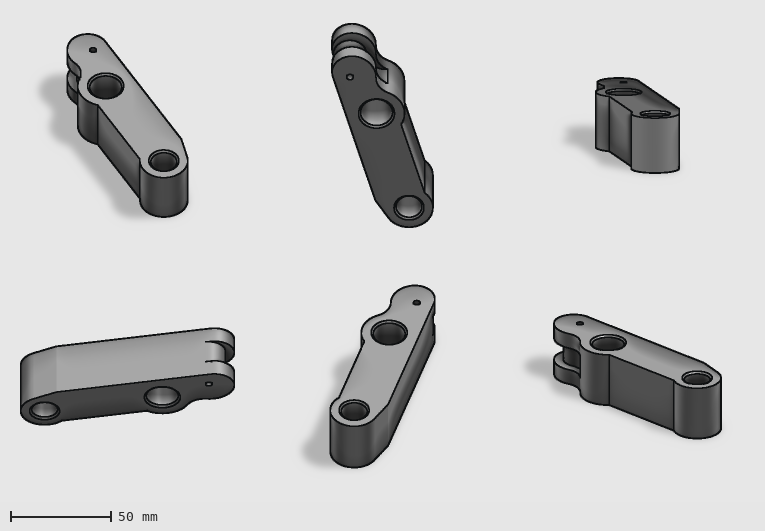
import cadquery as cq
import math

thickness = 28.0
top_edge_y = 15.0
bottom_edge_y = -10.0
chamfer = 1.0

main_boss_radius = 14.0
main_bore_diameter = 16.0

end_center = (60.0, 0.0)
end_boss_radius = 12.0
end_bore_diameter = 13.0
slope_start = (51.0, top_edge_y)

pin_distance = 26.0
pin_angle = math.radians(165.0)
pin_center = (pin_distance * math.cos(pin_angle), pin_distance * math.sin(pin_angle))
pin_hole_diameter = 3.3
nose_radius = 13.0
nose_corner_radius = 10.0
waist_radius = 10.0

slot_height = 12.0
slot_margin = 20.0
web_radius = top_edge_y - pin_center[1]


def polar_point(center, radius, angle):
    """Point at the given radius and angle around a center."""
    return (center[0] + radius * math.cos(angle), center[1] + radius * math.sin(angle))


def direction(start, end):
    """Angle of the line from start to end."""
    return math.atan2(end[1] - start[1], end[0] - start[0])


def circle_crossing(center_a, radius_a, center_b, radius_b):
    """Crossing of two circles that lies on the right of the line from a to b."""
    distance = math.dist(center_a, center_b)
    cosine = (radius_a**2 + distance**2 - radius_b**2) / (2 * radius_a * distance)
    return polar_point(center_a, radius_a, direction(center_a, center_b) - math.acos(cosine))


def arc_middle(center, start, end):
    """Middle point of the shorter arc from start to end around a center."""
    chord_middle = ((start[0] + end[0]) / 2, (start[1] + end[1]) / 2)
    return polar_point(center, math.dist(center, start), direction(center, chord_middle))


main_center = (0.0, 0.0)

corner_y = top_edge_y - nose_corner_radius
corner_offset = math.sqrt((nose_radius - nose_corner_radius) ** 2 - (pin_center[1] - corner_y) ** 2)
corner_center = (pin_center[0] - corner_offset, corner_y)
corner_top = (corner_center[0], top_edge_y)
corner_end = polar_point(pin_center, nose_radius, direction(pin_center, corner_center))

waist_center = circle_crossing(
    pin_center, nose_radius + waist_radius, main_center, main_boss_radius + waist_radius
)
waist_start = polar_point(pin_center, nose_radius, direction(pin_center, waist_center))
waist_end = polar_point(main_center, main_boss_radius, direction(main_center, waist_center))


def make_body():
    main_exit = (math.sqrt(main_boss_radius**2 - bottom_edge_y**2), bottom_edge_y)
    end_entry = (end_center[0] - math.sqrt(end_boss_radius**2 - bottom_edge_y**2), bottom_edge_y)
    tangent_angle = direction(end_center, slope_start) - math.acos(
        end_boss_radius / math.dist(end_center, slope_start)
    )
    slope_end = polar_point(end_center, end_boss_radius, tangent_angle)
    end_boss_right = (end_center[0] + end_boss_radius, end_center[1])
    main_boss_bottom = (main_center[0], main_center[1] - main_boss_radius)

    return (
        cq.Workplane("XY")
        .workplane(offset=-thickness / 2)
        .moveTo(*corner_top)
        .threePointArc(arc_middle(corner_center, corner_top, corner_end), corner_end)
        .threePointArc(arc_middle(pin_center, corner_end, waist_start), waist_start)
        .threePointArc(arc_middle(waist_center, waist_start, waist_end), waist_end)
        .threePointArc(main_boss_bottom, main_exit)
        .lineTo(*end_entry)
        .threePointArc(end_boss_right, slope_end)
        .lineTo(*slope_start)
        .close()
        .extrude(thickness)
    )


def make_slot():
    """Cutter that leaves a round web between the two fork cheeks."""
    hollow_center = circle_crossing(pin_center, web_radius + waist_radius, waist_end, waist_radius)
    hollow_start = polar_point(pin_center, web_radius, direction(pin_center, hollow_center))
    hollow_middle = arc_middle(hollow_center, hollow_start, waist_end)
    web_top = (pin_center[0], top_edge_y)
    web_left = (pin_center[0] - web_radius, pin_center[1])
    outer_x = pin_center[0] - slot_margin
    outer_y = pin_center[1] - slot_margin

    return (
        cq.Workplane("XY")
        .workplane(offset=-slot_height / 2)
        .moveTo(*web_top)
        .threePointArc(web_left, hollow_start)
        .threePointArc(hollow_middle, waist_end)
        .lineTo(waist_end[0], outer_y)
        .lineTo(outer_x, outer_y)
        .lineTo(outer_x, top_edge_y)
        .close()
        .extrude(slot_height)
    )


def make_hole(center, diameter):
    """Round cutter through the full thickness."""
    return (
        cq.Workplane("XY")
        .workplane(offset=-thickness / 2)
        .center(*center)
        .circle(diameter / 2)
        .extrude(thickness)
    )


def make_chamfered_bore(center, diameter):
    """Through bore cutter, widened by a 45 degree chamfer at both ends."""
    radius = diameter / 2
    half = thickness / 2
    profile = [
        (0, -half),
        (radius + chamfer, -half),
        (radius, chamfer - half),
        (radius, half - chamfer),
        (radius + chamfer, half),
        (0, half),
    ]
    bore = cq.Workplane("XZ").polyline(profile).close().revolve(360, (0, 0), (0, 1))
    return bore.translate((center[0], center[1], 0))


result = (
    make_body()
    .cut(make_slot())
    .cut(make_hole(pin_center, pin_hole_diameter))
    .cut(make_chamfered_bore(main_center, main_bore_diameter))
    .cut(make_chamfered_bore(end_center, end_bore_diameter))
)